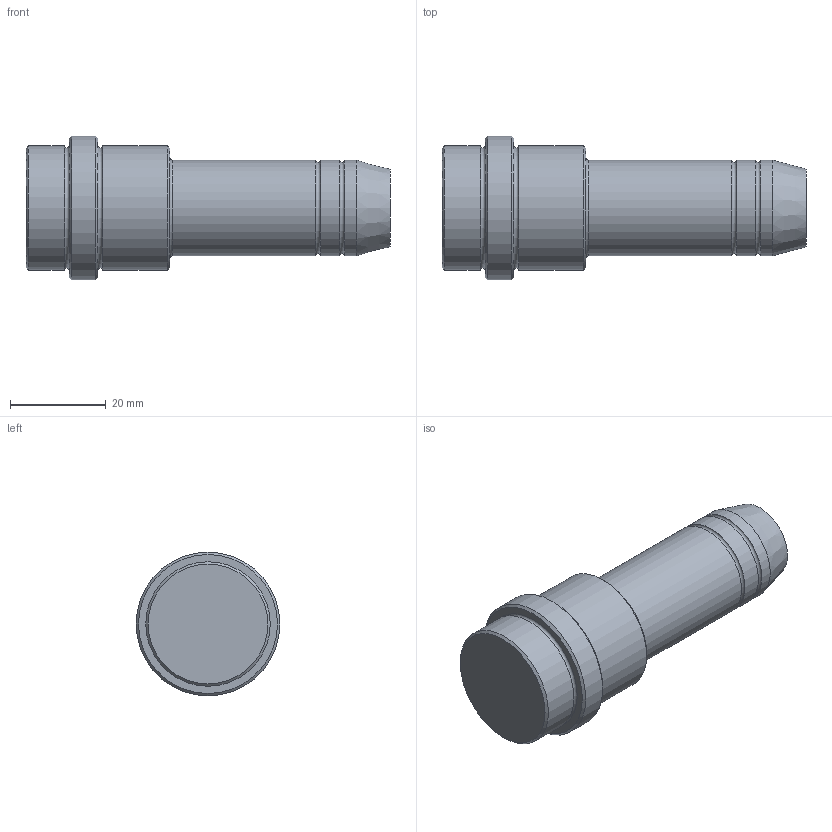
import cadquery as cq
import math

BODY_DIAMETER = 26.0
FLANGE_DIAMETER = 30.0
SHANK_DIAMETER = 20.0

FLANGE_START = 9.0
FLANGE_WIDTH = 6.0
BODY_LENGTH = 30.0
TOTAL_LENGTH = 76.0

CHAMFER = 0.5
SHANK_FILLET = 0.5
TIP_TAPER_LENGTH = 7.0
TIP_TAPER_ANGLE = 15.0

GROOVE_RADIUS = 0.5
SHANK_GROOVE_TO_TIP = 10.0
SHANK_GROOVE_SPACING = 5.0

body_radius = BODY_DIAMETER / 2
flange_radius = FLANGE_DIAMETER / 2
shank_radius = SHANK_DIAMETER / 2
flange_end = FLANGE_START + FLANGE_WIDTH
tip_start = TOTAL_LENGTH - TIP_TAPER_LENGTH
tip_radius = shank_radius - TIP_TAPER_LENGTH * math.tan(math.radians(TIP_TAPER_ANGLE))


def make_blank():
    """Revolve the stepped outline, without grooves, about the X axis."""
    fillet_middle = SHANK_FILLET * (1 - math.sqrt(0.5))
    outline = (
        cq.Workplane("XY")
        .moveTo(0, 0)
        .lineTo(0, body_radius - CHAMFER)
        .lineTo(CHAMFER, body_radius)
        .lineTo(FLANGE_START, body_radius)
        .lineTo(FLANGE_START, flange_radius - CHAMFER)
        .lineTo(FLANGE_START + CHAMFER, flange_radius)
        .lineTo(flange_end - CHAMFER, flange_radius)
        .lineTo(flange_end, flange_radius - CHAMFER)
        .lineTo(flange_end, body_radius)
        .lineTo(BODY_LENGTH - CHAMFER, body_radius)
        .lineTo(BODY_LENGTH, body_radius - CHAMFER)
        .lineTo(BODY_LENGTH, shank_radius + SHANK_FILLET)
        .threePointArc(
            (BODY_LENGTH + fillet_middle, shank_radius + fillet_middle),
            (BODY_LENGTH + SHANK_FILLET, shank_radius),
        )
        .lineTo(tip_start, shank_radius)
        .lineTo(TOTAL_LENGTH, tip_radius)
        .lineTo(TOTAL_LENGTH, 0)
        .close()
    )
    return outline.revolve(360, (0, 0, 0), (1, 0, 0))


def make_groove(center_x, surface_radius):
    """Ring that cuts a half-round groove into a cylinder of the given radius."""
    section = cq.Workplane("XY").center(center_x, surface_radius).circle(GROOVE_RADIUS)
    return section.revolve(360, (0, -surface_radius, 0), (1, -surface_radius, 0))


def cut_grooves(part):
    """Cut a relief on each side of the flange and two grooves near the tip."""
    for center_x in (FLANGE_START - GROOVE_RADIUS, flange_end + GROOVE_RADIUS):
        part = part.cut(make_groove(center_x, body_radius))
    last_groove_x = TOTAL_LENGTH - SHANK_GROOVE_TO_TIP
    for center_x in (last_groove_x - SHANK_GROOVE_SPACING, last_groove_x):
        part = part.cut(make_groove(center_x, shank_radius))
    return part


result = cut_grooves(make_blank())